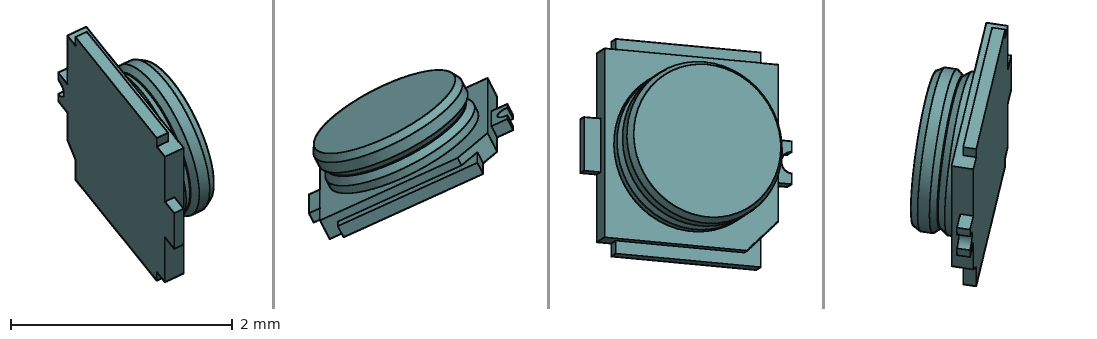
import cadquery as cq

PLATE_WIDTH = 1.68
PLATE_HEIGHT = 1.76
PLATE_THICKNESS = 0.2
CORNER_CHAMFER = 0.3

OVERALL_SPAN = 2.0
GROUND_WIDTH = 1.4
GROUND_THICKNESS = 0.12
SIGNAL_WIDTH = 0.5
SIGNAL_THICKNESS = 0.1
MARKER_WIDTH = 0.4
MARKER_THICKNESS = 0.12
NOTCH_RADIUS = 0.1

COLLAR_RADIUS = 0.75
GROOVE_RADIUS = 0.7
RIM_RADIUS = 0.71
COLLAR_TOP = 0.6
RIM_CHAMFER_START = 0.53
GROOVE_TOP = 0.42
GROOVE_FLOOR_TOP = 0.36
GROOVE_FLOOR_BOTTOM = 0.35
GROOVE_BOTTOM = 0.28


def slab(x_min, x_max, height, thickness):
    """Block centred on z = 0 that grows from y = 0 toward +Y."""
    return cq.Workplane("XY").box(
        x_max - x_min, thickness, height, centered=(False, False, True)
    ).translate((x_min, 0, 0))


def make_plate():
    """Rectangular plate with one chamfered corner at -X, -Z."""
    plate = slab(-PLATE_WIDTH / 2, PLATE_WIDTH / 2, PLATE_HEIGHT, PLATE_THICKNESS)
    return plate.faces("<X").edges("<Z").chamfer(CORNER_CHAMFER)


def make_ground_tabs():
    """One strip whose ends stand out above and below the plate."""
    return slab(-GROUND_WIDTH / 2, GROUND_WIDTH / 2, OVERALL_SPAN, GROUND_THICKNESS)


def make_signal_tab():
    """Plain tab on the +X side."""
    return slab(0, OVERALL_SPAN / 2, SIGNAL_WIDTH, SIGNAL_THICKNESS)


def make_marker_tab():
    """Tab on the -X side with a half-round notch in its end."""
    tab = slab(-OVERALL_SPAN / 2, 0, MARKER_WIDTH, MARKER_THICKNESS)
    notch = (
        cq.Workplane("XZ")
        .center(-OVERALL_SPAN / 2, 0)
        .circle(NOTCH_RADIUS)
        .extrude(-MARKER_THICKNESS)
    )
    return tab.cut(notch)


def make_collar():
    """Collar revolved about the Y axis, rooted at the flat face of the plate."""
    return (
        cq.Workplane("YZ")
        .moveTo(0, 0)
        .lineTo(0, COLLAR_RADIUS)
        .lineTo(GROOVE_BOTTOM, COLLAR_RADIUS)
        .lineTo(GROOVE_FLOOR_BOTTOM, GROOVE_RADIUS)
        .lineTo(GROOVE_FLOOR_TOP, GROOVE_RADIUS)
        .lineTo(GROOVE_TOP, COLLAR_RADIUS)
        .lineTo(RIM_CHAMFER_START, COLLAR_RADIUS)
        .lineTo(COLLAR_TOP, RIM_RADIUS)
        .lineTo(COLLAR_TOP, 0)
        .close()
        .revolve(360, (0, 0, 0), (1, 0, 0))
    )


result = (
    make_plate()
    .union(make_ground_tabs())
    .union(make_signal_tab())
    .union(make_marker_tab())
    .union(make_collar())
    .clean()
)